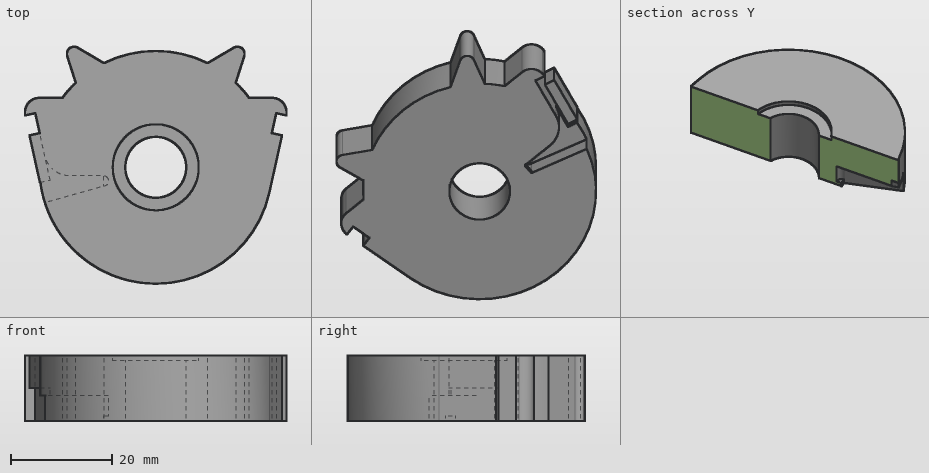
import cadquery as cq
import math

thickness = 13.0
half_width = 25.85
disc_radius = 23.0
bore_diameter = 12.0
counterbore_diameter = 17.0
counterbore_depth = 1.0

horn_inner_x = 10.25
horn_outer_x = 15.8
horn_tip = (16.15, 22.4)
horn_tip_radius = 1.45
shoulder_y = 13.75
shoulder_corner_radius = 2.9

flank_angle = 12.5
notch_depth = 2.05
notch_start = 11.6
notch_end = 15.55
notch_floor = disc_radius - notch_depth

relief_height = thickness / 2
left_flank_start = 2.0

channel_height = 5.0
boss_radius = 5.15
boss_along = 7.1
channel_mouth_y = -7.0
channel_mouth_x = -math.sqrt(disc_radius**2 - channel_mouth_y**2)
channel_outside_x = -28.45
channel_end_x = -10.35
channel_end_y = -3.7
lip_height = 1.0
lip_length = 1.55


def on_disc(x):
    """Point on the upper half of the disc rim."""
    return (x, math.sqrt(disc_radius**2 - x**2))


def flank_point(distance, along, side):
    """Point given by its distance outward from the axis and its place along a flank."""
    angle = math.radians(flank_angle)
    x = distance * math.cos(angle) + along * math.sin(angle)
    y = along * math.cos(angle) - distance * math.sin(angle)
    return (side * x, y)


def tangent_point(point, center, radius, turn):
    """Point where a line from point touches a circle; turn selects one of two."""
    dx = point[0] - center[0]
    dy = point[1] - center[1]
    angle = math.atan2(dy, dx) + turn * math.acos(radius / math.hypot(dx, dy))
    return (center[0] + radius * math.cos(angle), center[1] + radius * math.sin(angle))


def extrude_polygon(points, height):
    return cq.Workplane("XY").polyline(points).close().extrude(height)


def make_horn(side):
    inner = on_disc(side * horn_inner_x)
    outer = on_disc(side * horn_outer_x)
    tip = (side * horn_tip[0], horn_tip[1])
    inner_touch = tangent_point(inner, tip, horn_tip_radius, -side)
    outer_touch = tangent_point(outer, tip, horn_tip_radius, side)
    reach = math.hypot(*tip)
    tip_scale = 1 + horn_tip_radius / reach
    crown = (tip[0] * tip_scale, tip[1] * tip_scale)
    return (
        cq.Workplane("XY")
        .moveTo(0, 0)
        .lineTo(*inner)
        .lineTo(*inner_touch)
        .threePointArc(crown, outer_touch)
        .lineTo(*outer)
        .close()
        .extrude(thickness)
    )


def make_flank(side, start):
    """Side wing with a rounded shoulder, a hook and a rectangular notch."""
    shoulder_x = math.sqrt(disc_radius**2 - shoulder_y**2)
    hook_tip_y = flank_point(notch_floor, notch_end, side)[1] - notch_depth * math.sin(
        math.radians(flank_angle)
    )
    corner_x = half_width - shoulder_corner_radius
    corner_y = shoulder_y - shoulder_corner_radius
    corner_mid = shoulder_corner_radius * math.sqrt(0.5)
    return (
        cq.Workplane("XY")
        .moveTo(0, 0)
        .lineTo(side * shoulder_x, shoulder_y)
        .lineTo(side * corner_x, shoulder_y)
        .threePointArc(
            (side * (corner_x + corner_mid), corner_y + corner_mid),
            (side * half_width, corner_y),
        )
        .lineTo(side * half_width, hook_tip_y)
        .lineTo(*flank_point(notch_floor, notch_end, side))
        .lineTo(*flank_point(notch_floor, notch_start, side))
        .lineTo(*flank_point(disc_radius, notch_start, side))
        .lineTo(*flank_point(disc_radius, start, side))
        .close()
        .extrude(thickness)
    )


def make_relief():
    """Notch depth carried down the lower half of the left flank."""
    outside = disc_radius + notch_depth
    corners = [
        flank_point(notch_floor, left_flank_start, -1),
        flank_point(outside, left_flank_start, -1),
        flank_point(outside, notch_start, -1),
        flank_point(notch_floor, notch_start, -1),
    ]
    return extrude_polygon(corners, relief_height)


def make_channel():
    """Channel passing round a convex boss to a rounded inner end with a low lip."""
    boss_touch = flank_point(notch_floor, boss_along, -1)
    boss_center = flank_point(notch_floor - boss_radius, boss_along, -1)
    boss_bottom_y = boss_center[1] - boss_radius
    end_radius = (boss_bottom_y - channel_end_y) / 2
    channel_middle_y = (boss_bottom_y + channel_end_y) / 2
    boss_mid_angle = (math.radians(180 - flank_angle) + math.radians(270)) / 2
    boss_mid = (
        boss_center[0] + boss_radius * math.cos(boss_mid_angle),
        boss_center[1] + boss_radius * math.sin(boss_mid_angle),
    )
    channel = (
        cq.Workplane("XY")
        .moveTo(*boss_touch)
        .threePointArc(boss_mid, (boss_center[0], boss_bottom_y))
        .lineTo(channel_end_x, boss_bottom_y)
        .threePointArc(
            (channel_end_x + end_radius, channel_middle_y), (channel_end_x, channel_end_y)
        )
        .lineTo(channel_mouth_x, channel_mouth_y)
        .lineTo(channel_outside_x, channel_mouth_y)
        .lineTo(channel_outside_x, boss_touch[1])
        .close()
        .extrude(channel_height)
    )
    lip = (
        cq.Workplane("XY")
        .center(channel_end_x + lip_length / 2, channel_middle_y)
        .rect(lip_length, 2 * end_radius)
        .extrude(lip_height)
    )
    return channel.cut(lip)


body = cq.Workplane("XY").circle(disc_radius).extrude(thickness)
for side, flank_start in ((-1, left_flank_start), (1, 0)):
    body = body.union(make_horn(side)).union(make_flank(side, flank_start))

body = body.cut(make_relief()).cut(make_channel())

result = (
    body.faces(">Z")
    .workplane(origin=(0, 0, thickness))
    .cboreHole(bore_diameter, counterbore_diameter, counterbore_depth)
)